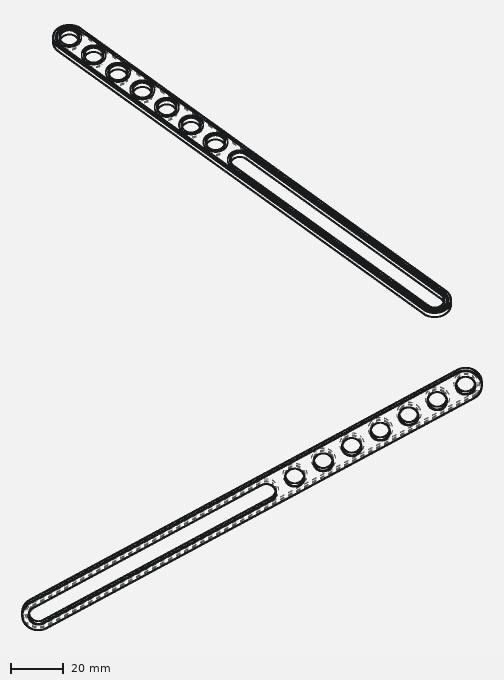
import cadquery as cq

length = 200.0
pitches_along_length = 16
hole_count = 7
hole_diameter = 7.0
rim_diameter = 9.2
border_width = 1.1
recess_depth = 0.2
edge_chamfer = 0.3

pitch = length / pitches_along_length
width = pitch
thickness = pitch / 4

end_arc_x = (length - width) / 2
hole_centers = [(-end_arc_x + i * pitch, 0) for i in range(hole_count)]
slot_start_x = -end_arc_x + hole_count * pitch
slot_travel = end_arc_x - slot_start_x
slot_center = ((slot_start_x + end_arc_x) / 2, 0)


def round_ended_bar(inset, height):
    """Bar outline moved inward by inset and raised to height."""
    return cq.Workplane("XY").slot2D(length - 2 * inset, width - 2 * inset).extrude(height)


def openings(diameter, height):
    """Solids filling the holes and the slot, all of the same diameter."""
    holes = cq.Workplane("XY").pushPoints(hole_centers).circle(diameter / 2).extrude(height)
    slot = cq.Workplane("XY").center(*slot_center).slot2D(slot_travel + diameter, diameter).extrude(height)
    return holes.union(slot)


def pierced_plate():
    """Plate with all its openings, chamfered along every top and bottom edge."""
    plate = round_ended_bar(0, thickness).cut(openings(hole_diameter, thickness))
    return plate.faces("|Z").edges().chamfer(edge_chamfer)


def top_recess():
    """Shallow recess that leaves a border along the outline and a rim around each opening."""
    recess = round_ended_bar(border_width, recess_depth).cut(openings(rim_diameter, recess_depth))
    return recess.translate((0, 0, thickness - recess_depth))


result = pierced_plate().cut(top_recess())